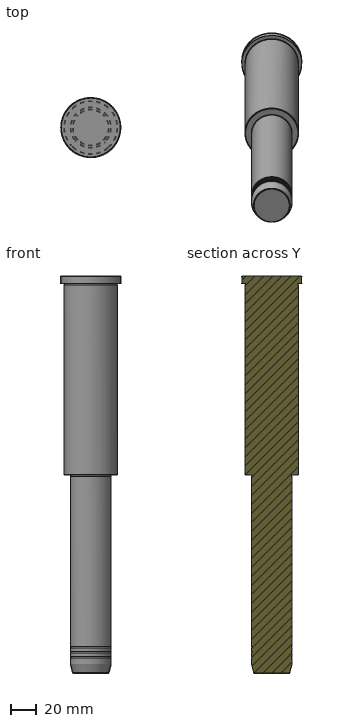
import cadquery as cq

HEAD_DIAMETER = 47.0
HEAD_HEIGHT = 6.0
HEAD_CHAMFER = 0.5
BODY_DIAMETER = 42.0
BODY_LENGTH = 150.0
BODY_CHAMFER = 0.5
PIN_DIAMETER = 32.0
PIN_LENGTH = 155.0

TIP_DIAMETER = 28.5
TIP_LENGTH = 7.0
TIP_CHAMFER = 0.5

GROOVE_RADIUS = 0.5
GROOVE_HEIGHTS = (12.5, 16.5, 20.5)

RELIEF_WIDTH = 1.0
RELIEF_DEPTH = 0.25

TOTAL_LENGTH = HEAD_HEIGHT + BODY_LENGTH + PIN_LENGTH
TOP = TOTAL_LENGTH / 2
BODY_TOP = TOP - HEAD_HEIGHT
PIN_TOP = BODY_TOP - BODY_LENGTH
BOTTOM = PIN_TOP - PIN_LENGTH


def pillar():
    """Stepped solid of head, body, pin, corner reliefs and tapered tip, turned from its half section."""
    head_radius = HEAD_DIAMETER / 2
    body_radius = BODY_DIAMETER / 2
    pin_radius = PIN_DIAMETER / 2
    tip_radius = TIP_DIAMETER / 2
    half_section = [
        (0, TOP),
        (-head_radius + HEAD_CHAMFER, TOP),
        (-head_radius, TOP - HEAD_CHAMFER),
        (-head_radius, BODY_TOP),
        (-body_radius + RELIEF_DEPTH, BODY_TOP),
        (-body_radius + RELIEF_DEPTH, BODY_TOP - RELIEF_WIDTH),
        (-body_radius, BODY_TOP - RELIEF_WIDTH),
        (-body_radius, PIN_TOP + BODY_CHAMFER),
        (-body_radius + BODY_CHAMFER, PIN_TOP),
        (-pin_radius + RELIEF_DEPTH, PIN_TOP),
        (-pin_radius + RELIEF_DEPTH, PIN_TOP - RELIEF_WIDTH),
        (-pin_radius, PIN_TOP - RELIEF_WIDTH),
        (-pin_radius, BOTTOM + TIP_LENGTH),
        (-tip_radius, BOTTOM + TIP_CHAMFER),
        (-tip_radius + TIP_CHAMFER, BOTTOM),
        (0, BOTTOM),
    ]
    return cq.Workplane("XZ").polyline(half_section).close().revolve(360, (0, 0), (0, 1))


def ring_groove(height):
    """Half-round ring of material removed around the pin, centred at a height above its free end."""
    ring = cq.Solid.makeTorus(PIN_DIAMETER / 2, GROOVE_RADIUS)
    return cq.Workplane(ring).translate((0, 0, BOTTOM + height))


result = pillar()
for groove_height in GROOVE_HEIGHTS:
    result = result.cut(ring_groove(groove_height))